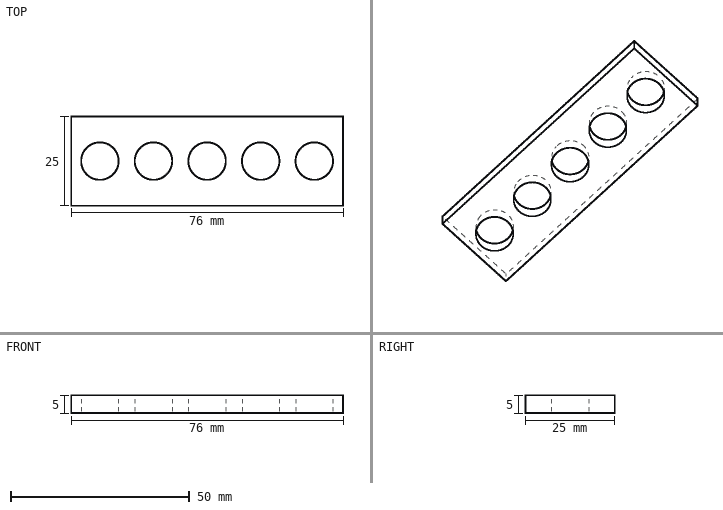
import cadquery as cq

length = 76.0
width = 25.0
thickness = 5.0

hole_count = 5
hole_diameter = 10.4
hole_pitch = 15.0

plate = cq.Workplane("XY").box(length, width, thickness)

result = (
    plate.faces(">Z")
    .workplane()
    .rarray(hole_pitch, 0.75, hole_count, 1)
    .hole(hole_diameter)
)